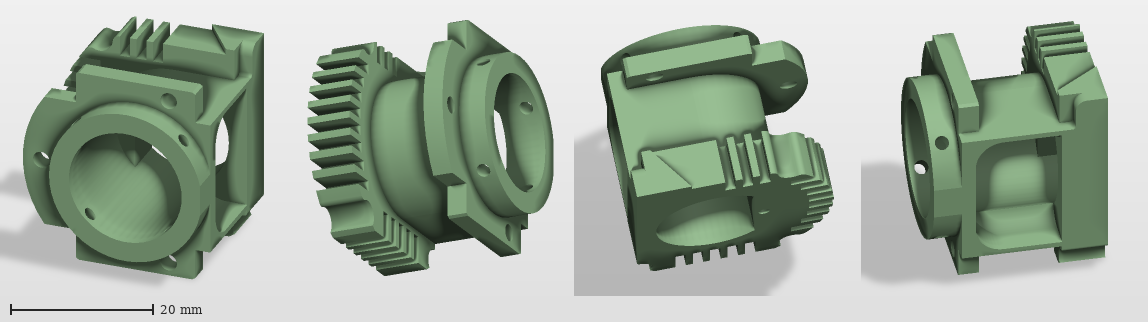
import cadquery as cq
import math

BODY_RADIUS = 17.0
SIDE_X = 11.25
HALF_HEIGHT = 14.7
LENGTH = 25.0

COLLAR_LENGTH = 4.0
FLANGE_THICKNESS = 2.95
SINK_THICKNESS = 6.6
FLANGE_BACK_Y = COLLAR_LENGTH + FLANGE_THICKNESS
SINK_FRONT_Y = LENGTH - SINK_THICKNESS

BORE_RADIUS = 8.5
COLLAR_RADIUS = 11.5
BARREL_RADIUS = 10.0
BORE_FLAT_X = -5.62
PIN_HOLE_X = -7.0
PIN_HOLE_RADIUS = 0.8

LUG_HALF_WIDTH = 9.0

SCREW_RADIUS = 1.23
SCREW_CENTERS = [(-14.2, 0), (5.0, 12.7), (5.0, -12.7)]
SET_SCREW_RADIUS = 1.0
SET_SCREW_Y = 1.8
SET_SCREW_ANGLES = (45, 135, 225, 315)

SINK_TOP_Z = 13.8
SLOT_WIDTH = 1.5
FIN_WIDTH = 1.0
SLOT_PITCH = SLOT_WIDTH + FIN_WIDTH
SLOT_FLOOR_Z = 10.8
SLOT_FLOOR_RADIUS = 13.47
SIDE_SLOT_COUNT = 8
TOP_SLOT_COUNT = 3
TOP_SLOT_FIRST_X = -7.17
BOTTOM_SLOT_COUNT = 5
BOTTOM_SLOT_FIRST_X = -2 * SLOT_PITCH
PAD_BACK_X = 3.38
PAD_FRONT_X = 8.03

GROOVE_X = 11.0
GROOVE_Z = 13.0
GROOVE_RADIUS = 2.0
LIP_RADIUS = 1.0
SIDE_LIP_RADIUS = 0.5

NOTCH_X = 9.32
NOTCH_WALL_Y = 20.4
NOTCH_TOP_RADIUS = 1.6
NOTCH_FLOOR_RADIUS = 0.5

WINDOW_X = 5.0
WINDOW_FRONT_Y = 6.0
WINDOW_HALF_HEIGHT = 9.23
WINDOW_INNER_RADIUS = 3.0
WINDOW_FRONT_RADIUS = 4.0
WINDOW_CORNER_CHAMFER = 1.18


def block(x0, x1, y0, y1, z0, z1):
    """Box between two opposite corners."""
    return cq.Workplane("XY").box(x1 - x0, y1 - y0, z1 - z0, centered=False).translate((x0, y0, z0))


def rod(radius, y0, y1, x=0, z=0):
    """Cylinder along Y."""
    return cq.Workplane("XZ", origin=(x, y0, z)).circle(radius).extrude(y0 - y1)


def make_collar():
    return rod(COLLAR_RADIUS, 0, COLLAR_LENGTH).intersect(
        block(-COLLAR_RADIUS, SIDE_X, 0, COLLAR_LENGTH, -COLLAR_RADIUS, COLLAR_RADIUS)
    )


def make_flange():
    band = block(-BODY_RADIUS, SIDE_X, COLLAR_LENGTH, FLANGE_BACK_Y, -BARREL_RADIUS, BARREL_RADIUS)
    lugs = block(-LUG_HALF_WIDTH, LUG_HALF_WIDTH, COLLAR_LENGTH, FLANGE_BACK_Y, -HALF_HEIGHT, HALF_HEIGHT)
    return band.union(lugs).intersect(rod(BODY_RADIUS, COLLAR_LENGTH, FLANGE_BACK_Y))


def make_barrel():
    round_side = rod(BARREL_RADIUS, COLLAR_LENGTH, LENGTH)
    square_side = block(0, SIDE_X, COLLAR_LENGTH, LENGTH, -BARREL_RADIUS, BARREL_RADIUS)
    return round_side.union(square_side)


def round_groove_lips(plate, x, z, lip_radius):
    """Round the lips of one groove; lips below the two lower groove centers stay sharp."""
    lowest = max(z - GROOVE_RADIUS, -GROOVE_Z)
    lips = cq.selectors.BoxSelector(
        (x - GROOVE_RADIUS, SINK_FRONT_Y, lowest),
        (x + GROOVE_RADIUS, LENGTH, z + GROOVE_RADIUS),
    )
    return plate.edges("|Y").edges(lips).fillet(lip_radius)


def make_sink_body():
    """Heat sink plate with its grooved corners and the raised corner pad."""
    plate = rod(BODY_RADIUS, SINK_FRONT_Y, LENGTH)
    plate = plate.intersect(block(-BODY_RADIUS, SIDE_X, SINK_FRONT_Y, LENGTH, -HALF_HEIGHT, SINK_TOP_Z))
    plate = plate.union(block(0, SIDE_X, SINK_FRONT_Y, LENGTH, 0, SINK_TOP_Z))
    grooves = [
        (-GROOVE_X, GROOVE_Z, LIP_RADIUS),
        (-GROOVE_X, -GROOVE_Z, LIP_RADIUS),
        (GROOVE_X, -GROOVE_Z, SIDE_LIP_RADIUS),
    ]
    for x, z, lip_radius in grooves:
        plate = plate.cut(rod(GROOVE_RADIUS, SINK_FRONT_Y, LENGTH, x, z))
        plate = round_groove_lips(plate, x, z, lip_radius)

    pad = (
        cq.Workplane("XY", origin=(0, 0, SINK_TOP_Z))
        .moveTo(PAD_BACK_X, LENGTH)
        .lineTo(PAD_FRONT_X, SINK_FRONT_Y)
        .lineTo(SIDE_X, SINK_FRONT_Y)
        .lineTo(SIDE_X, LENGTH)
        .close()
        .extrude(HALF_HEIGHT - SINK_TOP_Z)
    )
    return plate.union(pad)


def cut_sink_slots(sink):
    half = SLOT_WIDTH / 2
    for i in range(SIDE_SLOT_COUNT):
        z = (i - (SIDE_SLOT_COUNT - 1) / 2) * SLOT_PITCH
        floor_x = -math.sqrt(SLOT_FLOOR_RADIUS**2 - (abs(z) - half) ** 2)
        sink = sink.cut(block(-BODY_RADIUS, floor_x, SINK_FRONT_Y, LENGTH, z - half, z + half))
    for i in range(TOP_SLOT_COUNT):
        x = TOP_SLOT_FIRST_X + i * SLOT_PITCH
        sink = sink.cut(block(x - half, x + half, SINK_FRONT_Y, LENGTH, SLOT_FLOOR_Z, HALF_HEIGHT))
    for i in range(BOTTOM_SLOT_COUNT):
        x = BOTTOM_SLOT_FIRST_X + i * SLOT_PITCH
        sink = sink.cut(block(x - half, x + half, SINK_FRONT_Y, LENGTH, -HALF_HEIGHT, -SLOT_FLOOR_Z))
    return sink


def make_notch():
    """Cutter for the top right corner: rounded top edge, flat wall and filleted floor."""
    floor_z = BARREL_RADIUS
    diagonal = math.sqrt(0.5)
    top_y = NOTCH_WALL_Y + NOTCH_TOP_RADIUS
    top_z = HALF_HEIGHT - NOTCH_TOP_RADIUS
    fillet_y = NOTCH_WALL_Y - NOTCH_FLOOR_RADIUS
    fillet_z = floor_z + NOTCH_FLOOR_RADIUS
    return (
        cq.Workplane("YZ", origin=(NOTCH_X, 0, 0))
        .moveTo(SINK_FRONT_Y, floor_z)
        .lineTo(fillet_y, floor_z)
        .threePointArc(
            (fillet_y + NOTCH_FLOOR_RADIUS * diagonal, fillet_z - NOTCH_FLOOR_RADIUS * diagonal),
            (NOTCH_WALL_Y, fillet_z),
        )
        .lineTo(NOTCH_WALL_Y, top_z)
        .threePointArc(
            (top_y - NOTCH_TOP_RADIUS * diagonal, top_z + NOTCH_TOP_RADIUS * diagonal),
            (top_y, HALF_HEIGHT),
        )
        .lineTo(SINK_FRONT_Y, HALF_HEIGHT)
        .close()
        .extrude(SIDE_X - NOTCH_X)
    )


def make_bore():
    """Cutter for the bore, flattened on its left inside the heat sink, and the pin hole beside it."""
    bore = rod(BORE_RADIUS, 0, LENGTH)
    bore = bore.cut(block(-BORE_RADIUS, BORE_FLAT_X, SINK_FRONT_Y, LENGTH, -BORE_RADIUS, BORE_RADIUS))
    return bore.union(rod(PIN_HOLE_RADIUS, SINK_FRONT_Y, LENGTH, PIN_HOLE_X))


def make_window():
    """Cutter from the bore out to the right side, with rounded inner and front edges."""
    limits = (WINDOW_X, SIDE_X, WINDOW_FRONT_Y, SINK_FRONT_Y, -WINDOW_HALF_HEIGHT, WINDOW_HALF_HEIGHT)
    inner_rounded = block(*limits).edges("|Y and <X").fillet(WINDOW_INNER_RADIUS)
    front_rounded = block(*limits).edges("|X and <Y").fillet(WINDOW_FRONT_RADIUS)
    corner_cut = block(*limits).edges("|Z and <X and <Y").chamfer(WINDOW_CORNER_CHAMFER)
    return inner_rounded.intersect(front_rounded).intersect(corner_cut)


def cut_flange_screws(body):
    for x, z in SCREW_CENTERS:
        body = body.cut(rod(SCREW_RADIUS, COLLAR_LENGTH, FLANGE_BACK_Y, x, z))
    return body


def cut_set_screws(body):
    center = cq.Vector(0, SET_SCREW_Y, 0)
    for angle in SET_SCREW_ANGLES:
        outward = cq.Vector(math.cos(math.radians(angle)), 0, math.sin(math.radians(angle)))
        hole = cq.Solid.makeCylinder(SET_SCREW_RADIUS, BODY_RADIUS, center, outward)
        body = body.cut(cq.Workplane(hole))
    return body


sink = cut_sink_slots(make_sink_body()).cut(make_notch())
result = make_collar().union(make_flange()).union(make_barrel()).union(sink)
result = result.cut(make_window()).cut(make_bore())
result = cut_set_screws(cut_flange_screws(result))